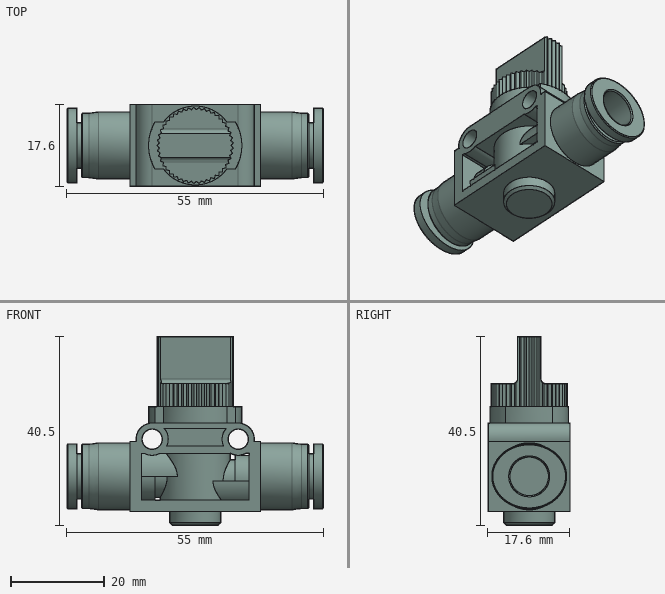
import cadquery as cq
import math


BODY_LENGTH = 28.05
BODY_WIDTH = 17.6
BODY_BOTTOM = -7.6
SHOULDER_TOP = 7.5

EAR_X = 9.25
EAR_Z = 8.0
EAR_RADIUS = 3.45
EAR_HOLE_RADIUS = 2.15
BODY_TOP = EAR_Z + EAR_RADIUS

WINDOW_LENGTH = 23.1
WINDOW_BOTTOM = -5.1
WINDOW_TOP = 4.95

LABEL_BOTTOM = 6.5
LABEL_TOP = 10.3
LABEL_DEPTH = 0.35

CORE_RADIUS = 7.55
PIPE_RADIUS = 4.55
PIPE_COLLAR_RADIUS = 5.5
PIPE_COLLAR_END = 8.6
SHELL_RADIUS = 6.5
OUTLET_DROP = 1.0

HALF_LENGTH = 27.5
CONNECTOR_RADIUS = 7.2
TAPER_START = 20.8
TAPER_END = 22.8
NOSE_RADIUS = 6.95
NOSE_END = 24.4
NOSE_CHAMFER = 0.3
NECK_RADIUS = 4.9
RELEASE_THICKNESS = 2.1
RELEASE_HALF_WIDTH = 8.05
RELEASE_HALF_HEIGHT = 7.0
RELEASE_CHAMFER = 0.2
BORE_RADIUS = 4.1
BORE_CHAMFER = 0.3

BOSS_RADIUS = 5.5
BOSS_BOTTOM = -10.5
BOSS_CHAMFER = 0.6

STOP_TOP = 14.95
STOP_RADIUS = 8.45
LOBE_RADIUS = 10.0
LOBE_WIDTH = 10.05

HANDLE_TOP = 30.0
HANDLE_SHOULDER = 19.9
BLADE_THICKNESS = 5.05
BLADE_FILLET = 1.0
TOOTH_COUNT = 45
TOOTH_TIP_RADIUS = 8.2
TOOTH_ROOT_RADIUS = 7.7


def box_between(x_size, y_size, z_low, z_high):
    """Box centred on the Z axis between two heights."""
    return cq.Workplane("XY").workplane(offset=z_low).rect(x_size, y_size).extrude(z_high - z_low)


def disc_between(radius, z_low, z_high):
    """Cylinder on the Z axis between two heights."""
    return cq.Workplane("XY").workplane(offset=z_low).circle(radius).extrude(z_high - z_low)


def x_cylinder(radius, x_start, x_end, axis_z):
    """Cylinder along X between two places, its axis at height axis_z."""
    start_plane = cq.Workplane("YZ", origin=(x_start, 0, axis_z))
    return start_plane.circle(radius).extrude(x_end - x_start)


def ear_cylinders(radius):
    """Cylinders along Y at both ears, as long as the body is wide."""
    centres = [(-EAR_X, EAR_Z), (EAR_X, EAR_Z)]
    back_face = cq.Workplane("XZ", origin=(0, BODY_WIDTH / 2, 0))
    return back_face.pushPoints(centres).circle(radius).extrude(BODY_WIDTH)


def label_recess():
    """Recess in the front face, its ends following the ear rings."""
    recess = (
        cq.Workplane("XZ", origin=(0, -BODY_WIDTH / 2, (LABEL_BOTTOM + LABEL_TOP) / 2))
        .rect(2 * EAR_X, LABEL_TOP - LABEL_BOTTOM)
        .extrude(-LABEL_DEPTH)
    )
    return recess.cut(ear_cylinders(EAR_RADIUS))


def body_frame():
    """Block with rounded ears, the window and the label recess."""
    frame = box_between(BODY_LENGTH, BODY_WIDTH, BODY_BOTTOM, SHOULDER_TOP)
    frame = frame.union(box_between(2 * EAR_X, BODY_WIDTH, 0, BODY_TOP))
    frame = frame.cut(box_between(WINDOW_LENGTH, BODY_WIDTH, WINDOW_BOTTOM, WINDOW_TOP))
    frame = frame.union(ear_cylinders(EAR_RADIUS))
    return frame.cut(label_recess())


def inner_passage(side, axis_z, shell_side):
    """Stepped pipe from core to window wall, with a half shell above (+1) or below (-1) its axis."""
    wall_x = side * WINDOW_LENGTH / 2
    pipe = x_cylinder(PIPE_RADIUS, 0, wall_x, axis_z)
    collar = x_cylinder(PIPE_COLLAR_RADIUS, side * PIPE_COLLAR_END, wall_x, axis_z)
    shell_edge = axis_z + shell_side * SHELL_RADIUS
    half_space = box_between(WINDOW_LENGTH, BODY_WIDTH, min(axis_z, shell_edge), max(axis_z, shell_edge))
    shell = x_cylinder(SHELL_RADIUS, 0, wall_x, axis_z).intersect(half_space)
    return pipe.union(collar).union(shell)


def connector():
    """Hose connector at the +X end: tapered sleeve, neck, oval release ring and blind hose bore."""
    body_face = BODY_LENGTH / 2
    ring_start = HALF_LENGTH - RELEASE_THICKNESS
    sleeve = (
        cq.Workplane("XY")
        .moveTo(body_face, 0)
        .lineTo(body_face, CONNECTOR_RADIUS)
        .lineTo(TAPER_START, CONNECTOR_RADIUS)
        .lineTo(TAPER_END, NOSE_RADIUS)
        .lineTo(NOSE_END - NOSE_CHAMFER, NOSE_RADIUS)
        .lineTo(NOSE_END, NOSE_RADIUS - NOSE_CHAMFER)
        .lineTo(NOSE_END, NECK_RADIUS)
        .lineTo(ring_start, NECK_RADIUS)
        .lineTo(ring_start, 0)
        .close()
        .revolve(360, (0, 0, 0), (1, 0, 0))
    )
    ring = (
        cq.Workplane("YZ")
        .workplane(offset=ring_start)
        .ellipse(RELEASE_HALF_WIDTH, RELEASE_HALF_HEIGHT)
        .extrude(RELEASE_THICKNESS)
        .faces(">X")
        .chamfer(RELEASE_CHAMFER)
    )
    bore = (
        cq.Workplane("XY")
        .moveTo(body_face, 0)
        .lineTo(body_face, BORE_RADIUS)
        .lineTo(HALF_LENGTH - BORE_CHAMFER, BORE_RADIUS)
        .lineTo(HALF_LENGTH, BORE_RADIUS + BORE_CHAMFER)
        .lineTo(HALF_LENGTH, 0)
        .close()
        .revolve(360, (0, 0, 0), (1, 0, 0))
    )
    return sleeve.union(ring).cut(bore)


def stop_plate():
    """Round plate with a lobe on each side that limits the handle's turn."""
    lobes = disc_between(LOBE_RADIUS, BODY_TOP, STOP_TOP)
    lobes = lobes.intersect(box_between(2 * LOBE_RADIUS, LOBE_WIDTH, BODY_TOP, STOP_TOP))
    return disc_between(STOP_RADIUS, BODY_TOP, STOP_TOP).union(lobes)


def serrated_outline():
    """Points of a closed ring of triangular teeth, with one tip on the -X side."""
    points = []
    for step in range(2 * TOOTH_COUNT):
        radius = TOOTH_TIP_RADIUS if step % 2 == 0 else TOOTH_ROOT_RADIUS
        angle = math.pi + step * math.pi / TOOTH_COUNT
        points.append((radius * math.cos(angle), radius * math.sin(angle)))
    return points


def handle():
    """Serrated knob whose upper part narrows to a grip blade with filleted roots."""
    knob = (
        cq.Workplane("XY")
        .workplane(offset=STOP_TOP)
        .polyline(serrated_outline())
        .close()
        .extrude(HANDLE_TOP - STOP_TOP)
    )
    diameter = 2 * TOOTH_TIP_RADIUS
    base = box_between(diameter, diameter, STOP_TOP, HANDLE_SHOULDER)
    blade = box_between(diameter, BLADE_THICKNESS, STOP_TOP, HANDLE_TOP)
    root_selector = cq.selectors.BoxSelector(
        (-diameter, -BLADE_THICKNESS, HANDLE_SHOULDER - BLADE_FILLET),
        (diameter, BLADE_THICKNESS, HANDLE_SHOULDER + BLADE_FILLET),
    )
    envelope = base.union(blade).edges(root_selector).fillet(BLADE_FILLET)
    return knob.intersect(envelope)


core = disc_between(CORE_RADIUS, WINDOW_BOTTOM, WINDOW_TOP)
boss = disc_between(BOSS_RADIUS, BOSS_BOTTOM, BODY_BOTTOM).faces("<Z").chamfer(BOSS_CHAMFER)
right_connector = connector()

result = (
    body_frame()
    .union(core)
    .union(inner_passage(-1, 0, 1))
    .union(inner_passage(1, -OUTLET_DROP, -1))
    .cut(ear_cylinders(EAR_HOLE_RADIUS))
    .union(boss)
    .union(right_connector)
    .union(right_connector.mirror("YZ"))
    .union(stop_plate())
    .union(handle())
)